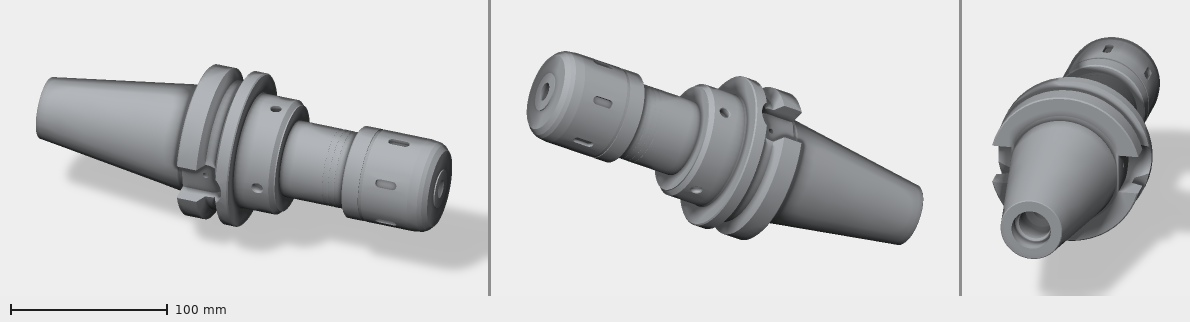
import cadquery as cq

taper_length = 101.7
taper_large_radius = 35.0
taper_rate = 7 / 24
taper_small_radius = taper_large_radius - taper_length * taper_rate / 2
taper_end_chamfer = 0.5
relief_radius = 34.0
relief_chamfer = 0.8
relief_end = 103.8
relief_root_radius = 74.0 / 2

flange_start = 104.5
flange_end = 139.8
front_flange_radius = 49.4
rear_flange_radius = 100.0 / 2
flange_chamfer = 0.8
groove_center = 124.9
groove_floor_width = 6.5
groove_floor_radius = 42.2
front_groove_width = 14.0
rear_groove_width = 13.3

collar_end = 166.5
collar_radius = 37.4
collar_root_length = 1.0
collar_root_height = 0.5
collar_chamfer = 2.7
collar_rim_width = 0.8

neck_radius = 50.0 / 2
neck_groove_radius = 49.5 / 2
neck_relief_width = 0.8
ring_groove_start = 195.0
ring_groove_width = 1.5
ring_groove_pitch = 4.0
ring_groove_count = 3

nut_start = 209.7
nut_end = 266.0
nut_radius = 60.0 / 2
nut_chamfer = 0.8
nut_groove_start = 221.0
nut_groove_width = 2.1
nut_groove_depth = 0.5
nut_cone_start = 254.0
nut_cone_end = 260.5
nut_cone_end_radius = 58.5 / 2
nut_chamfer_start = 263.0
nut_chamfer_start_radius = 55.8 / 2
nut_face_radius = 24.8

part_length = 266.8
tip_radius = 25.0 / 2

mouth_diameter = 25.5
mouth_depth = 10.7
thread_diameter = 21.0
thread_depth = 32
thread_chamfer = 1.3
through_diameter = 12.0
bore_cone_length = 2.7

drive_slot_count = 2
drive_slot_width = 25.0
drive_slot_end = 135.5
drive_slot_floor = 35.0
slot_hole_position = 120
slot_hole_diameter = 3.5
slot_hole_rim_diameter = 4.0

screw_position = 155.5
screw_diameter = 7.0
screw_rim_diameter = 8
screw_depth = 5.3
screw_cone_depth = 2.1
screw_count = 4

wrench_slot_position = 238.5
wrench_slot_length = 14.1
wrench_slot_width = 5.3
wrench_slot_depth = 2.7
wrench_slot_count = 6


def revolve_profile(points):
    """Solid turned about X from an open (x, radius) outline that ends on the axis."""
    return cq.Workplane("XY").polyline(points).close().revolve(360, (0, 0, 0), (1, 0, 0))


def ring_cut(start, width, inner_radius):
    """Ring used to cut a square groove down to inner_radius."""
    ring = cq.Workplane("YZ", origin=(start, 0, 0)).circle(rear_flange_radius)
    return ring.circle(inner_radius).extrude(width)


def make_shank_and_collar():
    floor_half = groove_floor_width / 2
    rim_start = collar_end - collar_rim_width
    return revolve_profile([
        (0, 0),
        (0, taper_small_radius - taper_end_chamfer),
        (taper_end_chamfer, taper_small_radius),
        (taper_length - relief_chamfer, taper_large_radius),
        (taper_length, relief_radius),
        (relief_end, relief_radius),
        (flange_start, relief_root_radius),
        (flange_start, front_flange_radius - flange_chamfer),
        (flange_start + flange_chamfer, front_flange_radius),
        (groove_center - front_groove_width / 2, front_flange_radius),
        (groove_center - floor_half, groove_floor_radius),
        (groove_center + floor_half, groove_floor_radius),
        (groove_center + rear_groove_width / 2, rear_flange_radius),
        (flange_end - flange_chamfer, rear_flange_radius),
        (flange_end, rear_flange_radius - flange_chamfer),
        (flange_end, collar_radius + collar_root_height),
        (flange_end + collar_root_length, collar_radius),
        (rim_start - collar_chamfer, collar_radius),
        (rim_start, collar_radius - collar_chamfer),
        (collar_end, collar_radius - collar_chamfer),
        (collar_end, 0),
    ])


def make_neck():
    neck = cq.Workplane("YZ", origin=(collar_end, 0, 0)).circle(neck_radius)
    neck = neck.extrude(nut_start - collar_end)
    neck = neck.cut(ring_cut(collar_end, neck_relief_width, neck_groove_radius))
    for index in range(ring_groove_count):
        start = ring_groove_start + index * ring_groove_pitch
        neck = neck.cut(ring_cut(start, ring_groove_width, neck_groove_radius))
    return neck


def make_nut():
    nut = (
        cq.Workplane("XY")
        .moveTo(nut_start, 0)
        .lineTo(nut_start, nut_radius - nut_chamfer)
        .lineTo(nut_start + nut_chamfer, nut_radius)
        .lineTo(nut_cone_start, nut_radius)
        .lineTo(nut_cone_end, nut_cone_end_radius)
        .lineTo(nut_chamfer_start, nut_chamfer_start_radius)
        .lineTo(nut_end, nut_face_radius)
        .lineTo(nut_end, tip_radius)
        .lineTo(part_length, tip_radius)
        .lineTo(part_length, 0)
        .close()
        .revolve(360, (0, 0, 0), (1, 0, 0))
    )
    return nut.cut(ring_cut(nut_groove_start, nut_groove_width, nut_radius - nut_groove_depth))


def make_bore():
    mouth_radius = mouth_diameter / 2
    thread_radius = thread_diameter / 2
    through_radius = through_diameter / 2
    return revolve_profile([
        (0, 0),
        (0, mouth_radius),
        (mouth_depth, mouth_radius),
        (mouth_depth, thread_radius + thread_chamfer),
        (mouth_depth + thread_chamfer, thread_radius),
        (thread_depth, thread_radius),
        (thread_depth + bore_cone_length, through_radius),
        (part_length, through_radius),
        (part_length, 0),
    ])


def rim_chamfer(position, height, hole_diameter, rim_diameter):
    """Upright cone that breaks the rim of a hole whose mouth is at the given height."""
    depth = (rim_diameter - hole_diameter) / 2
    return cq.Workplane(cq.Solid.makeCone(
        hole_diameter / 2, rim_diameter / 2, depth,
        pnt=cq.Vector(position, 0, height - depth), dir=cq.Vector(0, 0, 1)))


def make_drive_slot():
    """Round-ended slot above the axis, open toward the taper, with its small cross hole."""
    height = rear_flange_radius - drive_slot_floor
    end_radius = drive_slot_width / 2
    end_center = drive_slot_end - end_radius
    open_length = end_center - taper_length
    floor = cq.Workplane("XY", origin=(0, 0, drive_slot_floor))
    slot = floor.center(end_center - open_length / 2, 0).rect(open_length, drive_slot_width)
    slot = slot.extrude(height)
    slot = slot.union(floor.center(end_center, 0).circle(end_radius).extrude(height))
    hole = cq.Workplane("XY").center(slot_hole_position, 0).circle(slot_hole_diameter / 2)
    slot = slot.union(hole.extrude(rear_flange_radius))
    return slot.union(rim_chamfer(
        slot_hole_position, drive_slot_floor, slot_hole_diameter, slot_hole_rim_diameter))


def make_screw_hole():
    """Upright blind hole with a drill-point bottom and a broken rim."""
    bottom = collar_radius - screw_depth
    hole = cq.Workplane("XY", origin=(screw_position, 0, bottom)).circle(screw_diameter / 2)
    hole = hole.extrude(2 * screw_depth)
    point = cq.Solid.makeCone(
        0, screw_diameter / 2, screw_cone_depth,
        pnt=cq.Vector(screw_position, 0, bottom - screw_cone_depth), dir=cq.Vector(0, 0, 1))
    hole = hole.union(cq.Workplane(point))
    return hole.union(rim_chamfer(screw_position, collar_radius, screw_diameter, screw_rim_diameter))


def make_wrench_slot():
    floor = cq.Workplane("XY", origin=(wrench_slot_position, 0, nut_radius - wrench_slot_depth))
    return floor.slot2D(wrench_slot_length, wrench_slot_width).extrude(2 * wrench_slot_depth)


def cut_around(body, tool, count, first_angle=0):
    """Cut the body with copies of a tool spaced evenly about the X axis."""
    for index in range(count):
        angle = first_angle + index * 360 / count
        body = body.cut(tool.rotate((0, 0, 0), (1, 0, 0), angle))
    return body


body = make_shank_and_collar().union(make_neck()).union(make_nut())
body = body.cut(make_bore())
body = cut_around(body, make_drive_slot(), drive_slot_count, first_angle=90)
body = cut_around(body, make_screw_hole(), screw_count)
result = cut_around(body, make_wrench_slot(), wrench_slot_count)